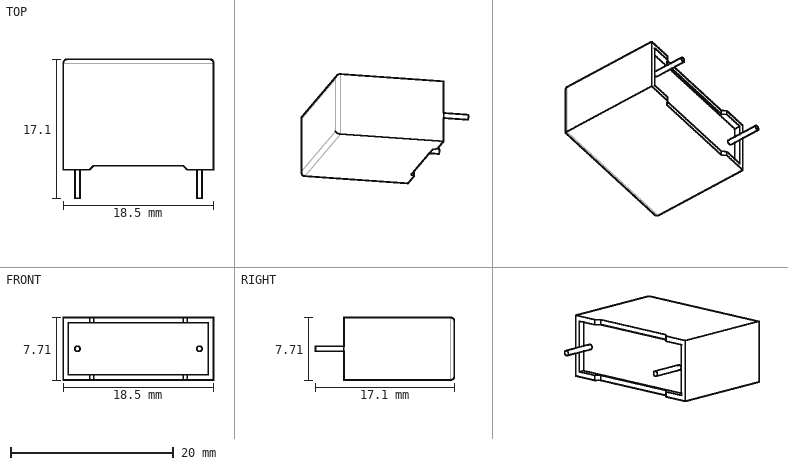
import cadquery as cq

case_width = 18.5
case_height = 7.71
total_length = 17.1
lead_protrusion = 3.5
case_length = total_length - lead_protrusion
wall = 0.65
back_fillet = 0.5

notch_depth = 0.5
notch_mouth_width = 12.0
notch_floor_width = notch_mouth_width - 2 * notch_depth

filler_recess = 0.75
filler_width = case_width - 2 * wall
filler_height = case_height - 2 * wall
filler_length = case_length - wall - filler_recess

lead_diameter = 0.65
lead_pitch = 15.0
lead_length = lead_protrusion + filler_recess


def y_box(width, length, height, start_y):
    """Box centred on X and Z that runs from start_y toward +Y."""
    return cq.Workplane("XY").box(width, length, height, centered=(True, False, True)).translate((0, start_y, 0))


def make_notch():
    """Trapezoid cutter that passes through the full case height."""
    return (
        cq.Workplane("XY")
        .polyline([
            (-notch_mouth_width / 2, 0),
            (-notch_floor_width / 2, notch_depth),
            (notch_floor_width / 2, notch_depth),
            (notch_mouth_width / 2, 0),
        ])
        .close()
        .extrude(case_height / 2, both=True)
    )


def make_case():
    """Hollow case with a rounded back and a notched mouth."""
    outer = y_box(case_width, case_length, case_height, 0).faces(">Y").edges().fillet(back_fillet)
    cavity = y_box(filler_width, case_length - wall, filler_height, 0)
    return outer.cut(cavity).cut(make_notch())


def make_filler():
    """Potting block that fills the cavity behind the recess."""
    return y_box(filler_width, filler_length, filler_height, filler_recess)


def make_lead(x):
    """Round lead from the filler face toward -Y."""
    return (
        cq.Workplane("XZ", origin=(x, filler_recess, 0))
        .circle(lead_diameter / 2)
        .extrude(lead_length)
    )


case = make_case()
filler = make_filler()
leads = [make_lead(side * lead_pitch / 2) for side in (-1, 1)]

result = cq.Compound.makeCompound([case.val(), filler.val(), *[lead.val() for lead in leads]])